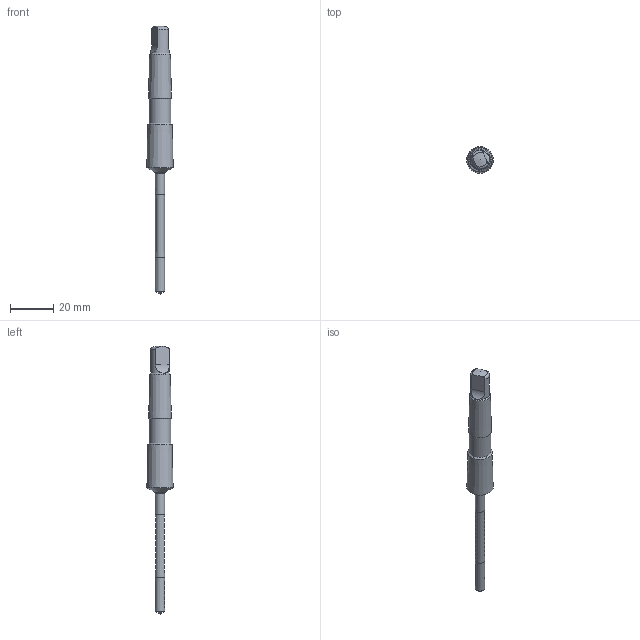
import cadquery as cq
import math

total_length = 124.0
shank_length = 65.5
shank_bottom = total_length - shank_length

drill_radius = 4.25 / 2
point_angle = math.radians(118)
point_height = drill_radius / math.tan(point_angle / 2)
drill_diameters_long = 4
drill_length = drill_diameters_long * 2 * drill_radius
flute_length = 46.0
back_taper = 0.0006

taper_per_mm = 0.04988
gauge_radius = 12.065 / 2
gauge_offset = 3.5
shank_radius = gauge_radius + taper_per_mm / 2 * gauge_offset
shoulder_angle = math.radians(45)
neck_cone_angle = math.radians(60)
neck_fillet = 0.7

recess_radius = 10.1 / 2
recess_bottom = 79.08
recess_top = 90.24

tang_radius = 8.65 / 2
tang_base = 111.5
tang_thickness = 5.2
tang_turn = 24.2
tang_end_angle = math.radians(82)
tang_end_round = 1.12
flat_bottom = 115.23
runout_radius = 5.0


def flute_radius(height):
    return drill_radius - back_taper * (height - point_height)


def taper_radius(height):
    return shank_radius - taper_per_mm / 2 * (height - shank_bottom)


def shoulder_edge(radius, height, direction):
    """Outer edge of a sloped shoulder that leaves a cylinder and goes up (1) or down (-1)."""
    rise = direction * (taper_radius(height) - radius) / math.tan(shoulder_angle)
    return taper_radius(height + rise), height + rise


def revolve(outline):
    return outline.close().revolve(360, (0, 0, 0), (0, 1, 0))


def ring_at(radius, height):
    """Selector for the circular edge of the given radius and height."""
    margin = 0.05
    outer = radius + margin
    return cq.selectors.BoxSelector(
        (-outer, -outer, height - margin), (outer, outer, height + margin), boundingbox=True
    )


def make_drill():
    return revolve(
        cq.Workplane("XZ")
        .lineTo(drill_radius, point_height)
        .lineTo(flute_radius(drill_length), drill_length)
        .lineTo(0, drill_length)
    )


def make_shank_blank():
    neck_top = shank_bottom - (shank_radius - drill_radius) / math.tan(neck_cone_angle)
    tang_corner = total_length - tang_radius / math.tan(tang_end_angle)
    blank = revolve(
        cq.Workplane("XZ")
        .moveTo(0, drill_length)
        .lineTo(flute_radius(drill_length), drill_length)
        .lineTo(flute_radius(flute_length), flute_length)
        .lineTo(drill_radius, flute_length)
        .lineTo(drill_radius, neck_top)
        .lineTo(shank_radius, shank_bottom)
        .lineTo(*shoulder_edge(recess_radius, recess_bottom, -1))
        .lineTo(recess_radius, recess_bottom)
        .lineTo(recess_radius, recess_top)
        .lineTo(*shoulder_edge(recess_radius, recess_top, 1))
        .lineTo(*shoulder_edge(tang_radius, tang_base, -1))
        .lineTo(tang_radius, tang_base)
        .lineTo(tang_radius, tang_corner)
        .lineTo(0, total_length)
    )
    blank = blank.edges(ring_at(drill_radius, neck_top)).fillet(neck_fillet)
    return blank.edges(ring_at(tang_radius, tang_corner)).fillet(tang_end_round)


def make_flat_cutter(turn):
    """Everything outside one tang flat, with a round runout below the flat."""
    inner = tang_thickness / 2
    outer = inner + runout_radius
    return (
        cq.Workplane("XZ")
        .moveTo(inner, flat_bottom)
        .radiusArc((outer, flat_bottom - runout_radius), -runout_radius)
        .lineTo(outer, total_length)
        .lineTo(inner, total_length)
        .close()
        .extrude(shank_radius, both=True)
        .rotate((0, 0, 0), (0, 0, 1), turn)
    )


def make_shank():
    shank = make_shank_blank()
    for side in (0, 180):
        shank = shank.cut(make_flat_cutter(tang_turn + side))
    return shank


drill = make_drill()
shank = make_shank()
result = cq.Compound.makeCompound([drill.val(), shank.val()])